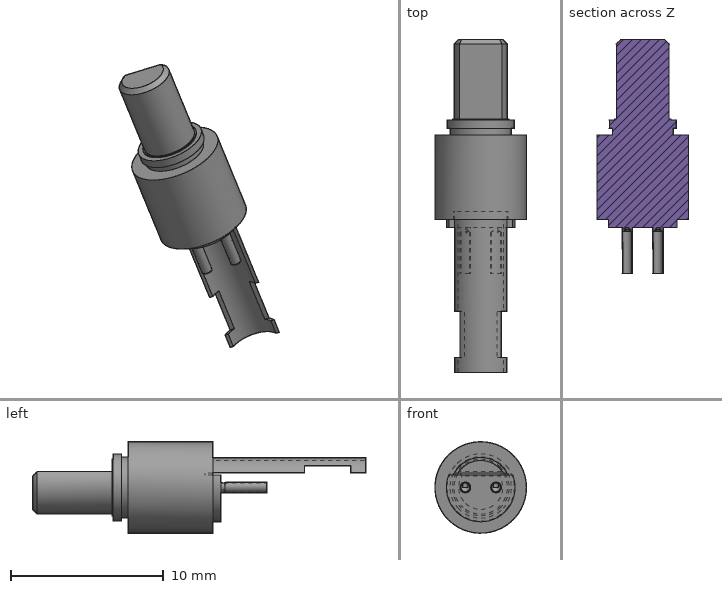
import cadquery as cq
import math


total_length = 21.8
blade_length = 10.0
body_diameter = 6.0
body_length = 5.54
groove_radius = 2.0
groove_length = 0.44
ring_radius = 2.2
ring_length = 0.55
shoulder_radius = 1.85
shoulder_length = 0.07

stem_radius = 1.75
stem_flat_height = 1.05
stem_chamfer = 0.3

plate_radius = 2.25
plate_flat_height = 0.83
plate_thickness = 0.52

pin_radius = 0.35
pin_spacing = 2.0
pin_length = 3.0
cup_radius = 0.28
cup_depth = 2.75
drill_point_angle = 118
cup_point_length = cup_radius / math.tan(math.radians(drill_point_angle / 2))
vent_radius = 0.17

blade_outer_radius = 1.96
blade_inner_radius = 1.77
blade_bottom_height = 0.95
notch_start = 6.0
notch_end = 9.0
notch_top_height = 1.42

recess_depth = plate_thickness

body_back = body_length
groove_back = body_back + groove_length
ring_back = groove_back + ring_length
shoulder_back = ring_back + shoulder_length
stem_back = total_length - blade_length


def cylinder(radius, y_start, y_end, x=0.0):
    """Cylinder parallel to Y between two Y positions."""
    plane = cq.Workplane("XZ", origin=(x, y_start, 0))
    return plane.circle(radius).extrude(y_start - y_end)


def slab(y_start, y_end, z_low, z_high):
    """Block as wide as the body, between the given Y and Z limits."""
    block = cq.Workplane("XY").box(body_diameter, y_end - y_start, z_high - z_low, centered=(True, False, False))
    return block.translate((0, y_start, z_low))


def make_stem():
    stem = cylinder(stem_radius, shoulder_back, stem_back)
    stem = stem.cut(slab(shoulder_back, stem_back, stem_flat_height, stem_radius))
    return stem.faces(">Y").edges().chamfer(stem_chamfer)


def make_plate():
    plate = cylinder(plate_radius, -plate_thickness, 0)
    return plate.cut(slab(-plate_thickness, 0, plate_flat_height, plate_radius))


def make_pin(x):
    """Hollow pin on the plate: a drilled solder cup with a vent hole in its top near the plate."""
    tip = -plate_thickness - pin_length
    cup_end = tip + cup_depth
    pin = cylinder(pin_radius, tip, -plate_thickness, x)
    cup = cylinder(cup_radius, tip, cup_end, x)
    drill_point = cq.Solid.makeCone(
        cup_radius, 0, cup_point_length, pnt=cq.Vector(x, cup_end, 0), dir=cq.Vector(0, 1, 0)
    )
    vent = cq.Workplane("XY", origin=(x, -plate_thickness - vent_radius, 0)).circle(vent_radius).extrude(pin_radius)
    return pin.cut(cup).cut(cq.Workplane(obj=drill_point)).cut(vent)


def make_blade():
    """Upper strip of a tube, narrowed by a notch on both sides near the tip."""
    tube = cylinder(blade_outer_radius, -blade_length, 0).cut(cylinder(blade_inner_radius, -blade_length, 0))
    blade = tube.intersect(slab(-blade_length, 0, blade_bottom_height, blade_outer_radius))
    return blade.cut(slab(-notch_end, -notch_start, blade_bottom_height, notch_top_height))


def make_recess():
    """Narrow slit in the body face, bounded by the blade's outer radius."""
    disc = cylinder(blade_outer_radius, 0, recess_depth)
    return disc.intersect(slab(0, recess_depth, plate_flat_height, blade_bottom_height))


result = cylinder(body_diameter / 2, 0, body_back).cut(make_recess())
result = result.union(cylinder(groove_radius, body_back, groove_back))
result = result.union(cylinder(ring_radius, groove_back, ring_back))
result = result.union(cylinder(shoulder_radius, ring_back, shoulder_back))
result = result.union(make_stem())
result = result.union(make_plate())
for side in (-1, 1):
    result = result.union(make_pin(side * pin_spacing / 2))
result = result.union(make_blade())